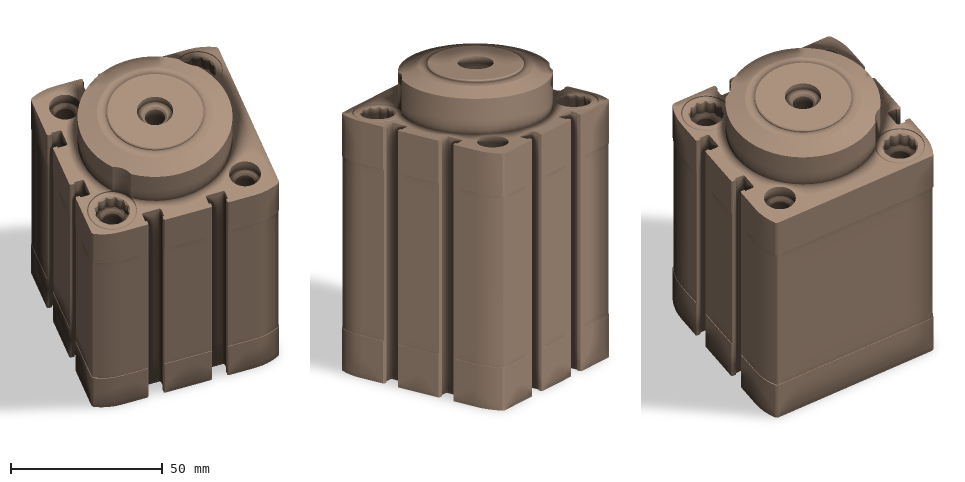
import cadquery as cq
import math

TOTAL_HEIGHT = 106.0
HOUSING_HEIGHT = 90.5
CAP_HEIGHT = 15.0
COLLAR_SHOULDER_HEIGHT = 103.0
COLLAR_TOP_HEIGHT = 105.2

CAP_WIDTH = 65.5
CAP_CORNER = (30.5, 32.3)
TUBE_WIDTH = 65.2
TUBE_CORNER = (30.1, 32.3)
CORNER_ARC_START = 23.3
FRONT_FLAT_HALF = 29.8

SLOT_OFFSET = 11.1
SLOT_MOUTH = 5.4
SLOT_WIDTH = 6.7
SLOT_DEPTH = 5.1
SLOT_LIP = 1.6
SLOT_FILLET = 0.6
SLOT_CHAMFER = 0.3

COLLAR_DIAMETER = 51.1
COLLAR_TOP_DIAMETER = 38.2

ROD_DIAMETER = 32.0
ROD_CHAMFER = 0.3
ROD_SEAT_HEIGHT = HOUSING_HEIGHT - CAP_HEIGHT
ROD_COUNTERBORE_DIAMETER = 12.0
ROD_COUNTERBORE_DEPTH = 2.8
ROD_THREAD_DEPTH = 19.1
DRILL_POINT_ANGLE = 118.0

HOLE_OFFSET = 23.2
THREAD_DIAMETER = 6.7
THREAD_MOUTH_DIAMETER = 8.0
PLAIN_COUNTERBORE_DIAMETER = 10.5
PLAIN_COUNTERBORE_DEPTH = 4.2
SCREW_DIAMETER = 16.4
SCREW_CHAMFER = 0.4
SOCKET_DEPTH = 5.1
SOCKET_ACROSS_FLATS = 10.2
SOCKET_MOUTH_DIAMETER = 12.0
SOCKET_BORE_DIAMETER = 10.7

PLAIN_CORNERS = [(-HOLE_OFFSET, -HOLE_OFFSET), (HOLE_OFFSET, HOLE_OFFSET)]
SCREW_CORNERS = [(-HOLE_OFFSET, HOLE_OFFSET), (HOLE_OFFSET, -HOLE_OFFSET)]


def cylinder(diameter, bottom, top):
    return cq.Workplane("XY").workplane(offset=bottom).circle(diameter / 2).extrude(top - bottom)


def cone(bottom_diameter, top_diameter, bottom, top):
    return cq.Workplane(
        cq.Solid.makeCone(bottom_diameter / 2, top_diameter / 2, top - bottom, cq.Vector(0, 0, bottom))
    )


def body_block(width, corner, bottom, top):
    """Square block whose sides end in arcs tangent to the side flats."""
    half = width / 2
    run = corner[1] - CORNER_ARC_START
    rise = half - corner[0]
    radius = (run ** 2 + rise ** 2) / (2 * rise)
    half_angle = math.asin(run / radius) / 2
    mid_x = half - radius * (1 - math.cos(half_angle))
    mid_y = CORNER_ARC_START + radius * math.sin(half_angle)
    return (
        cq.Workplane("XY")
        .workplane(offset=bottom)
        .moveTo(-FRONT_FLAT_HALF, -half)
        .lineTo(FRONT_FLAT_HALF, -half)
        .lineTo(corner[0], -corner[1])
        .threePointArc((mid_x, -mid_y), (half, -CORNER_ARC_START))
        .lineTo(half, CORNER_ARC_START)
        .threePointArc((mid_x, mid_y), corner)
        .lineTo(FRONT_FLAT_HALF, half)
        .lineTo(-FRONT_FLAT_HALF, half)
        .lineTo(-corner[0], corner[1])
        .threePointArc((-mid_x, mid_y), (-half, CORNER_ARC_START))
        .lineTo(-half, -CORNER_ARC_START)
        .threePointArc((-mid_x, -mid_y), (-corner[0], -corner[1]))
        .close()
        .extrude(top - bottom)
    )


def mounting_slot():
    """T-slot opening toward -Y, with a chamfered mouth and rounded inner corners."""
    face = -CAP_WIDTH / 2
    floor = face + SLOT_DEPTH
    lip = face + SLOT_LIP
    mouth_half = SLOT_MOUTH / 2
    cavity_half = SLOT_WIDTH / 2
    right_side = [
        (mouth_half + SLOT_CHAMFER, face),
        (mouth_half, face + SLOT_CHAMFER),
        (mouth_half, lip),
        (cavity_half, lip),
        (cavity_half, floor),
    ]
    left_side = [(-x, y) for x, y in reversed(right_side)]
    return (
        cq.Workplane("XY")
        .polyline(right_side + left_side)
        .close()
        .extrude(HOUSING_HEIGHT)
        .edges("|Z and >Y")
        .fillet(SLOT_FILLET)
    )


def threaded_hole(seat):
    """Through hole with a 45 degree mouth, ending at the seat height."""
    mouth_depth = (THREAD_MOUTH_DIAMETER - THREAD_DIAMETER) / 2
    mouth = cone(THREAD_DIAMETER, THREAD_MOUTH_DIAMETER, seat - mouth_depth, seat)
    return cylinder(THREAD_DIAMETER, 0, seat).union(mouth)


def plain_corner_hole():
    seat = HOUSING_HEIGHT - PLAIN_COUNTERBORE_DEPTH
    counterbore = cylinder(PLAIN_COUNTERBORE_DIAMETER, seat, HOUSING_HEIGHT)
    return threaded_hole(seat).union(counterbore)


def screw_corner_hole():
    """Through hole below a twelve-point socket whose ridges are bored flat, ringed by a fine V-groove."""
    seat = HOUSING_HEIGHT - SOCKET_DEPTH
    hole = threaded_hole(seat).union(cylinder(SOCKET_BORE_DIAMETER, seat, HOUSING_HEIGHT))
    across_corners = SOCKET_ACROSS_FLATS / math.cos(math.pi / 6)
    for turn in (0, 30):
        hexagon = (
            cq.Workplane("XY")
            .workplane(offset=seat)
            .polygon(6, across_corners)
            .extrude(SOCKET_DEPTH)
            .rotate((0, 0, 0), (0, 0, 1), turn)
        )
        hole = hole.union(hexagon)
    mouth_depth = (SOCKET_MOUTH_DIAMETER - SOCKET_BORE_DIAMETER) / 2
    mouth_bottom = HOUSING_HEIGHT - mouth_depth
    hole = hole.union(cone(SOCKET_BORE_DIAMETER, SOCKET_MOUTH_DIAMETER, mouth_bottom, HOUSING_HEIGHT))

    groove_bottom = HOUSING_HEIGHT - SCREW_CHAMFER
    groove = cylinder(SCREW_DIAMETER, groove_bottom, HOUSING_HEIGHT).cut(
        cone(SCREW_DIAMETER, SCREW_DIAMETER - 2 * SCREW_CHAMFER, groove_bottom, HOUSING_HEIGHT)
    )
    return hole.union(groove)


def collar():
    """Cylinder with a conical top, notched to clear the two corner screws."""
    ring = cylinder(COLLAR_DIAMETER, HOUSING_HEIGHT, COLLAR_SHOULDER_HEIGHT).union(
        cone(COLLAR_DIAMETER, COLLAR_TOP_DIAMETER, COLLAR_SHOULDER_HEIGHT, COLLAR_TOP_HEIGHT)
    )
    clearance = cylinder(SCREW_DIAMETER, HOUSING_HEIGHT, COLLAR_TOP_HEIGHT)
    for x, y in SCREW_CORNERS:
        ring = ring.cut(clearance.translate((x, y, 0)))
    return ring


def make_housing():
    upper_cap_bottom = HOUSING_HEIGHT - CAP_HEIGHT
    body = (
        body_block(CAP_WIDTH, CAP_CORNER, 0, CAP_HEIGHT)
        .union(body_block(TUBE_WIDTH, TUBE_CORNER, CAP_HEIGHT, upper_cap_bottom))
        .union(body_block(CAP_WIDTH, CAP_CORNER, upper_cap_bottom, HOUSING_HEIGHT))
        .union(collar())
    )
    for side_angle in (-90, 0, 90):
        for offset in (-SLOT_OFFSET, SLOT_OFFSET):
            slot = mounting_slot().translate((offset, 0, 0))
            body = body.cut(slot.rotate((0, 0, 0), (0, 0, 1), side_angle))
    for x, y in PLAIN_CORNERS:
        body = body.cut(plain_corner_hole().translate((x, y, 0)))
    for x, y in SCREW_CORNERS:
        body = body.cut(screw_corner_hole().translate((x, y, 0)))
    return body.cut(cylinder(ROD_DIAMETER, ROD_SEAT_HEIGHT, COLLAR_TOP_HEIGHT))


def make_piston_rod():
    rod = cylinder(ROD_DIAMETER, ROD_SEAT_HEIGHT, TOTAL_HEIGHT).faces(">Z").chamfer(ROD_CHAMFER)
    seat = TOTAL_HEIGHT - ROD_COUNTERBORE_DEPTH
    thread_bottom = TOTAL_HEIGHT - ROD_THREAD_DEPTH
    point_depth = THREAD_DIAMETER / 2 / math.tan(math.radians(DRILL_POINT_ANGLE / 2))
    mouth_depth = (THREAD_MOUTH_DIAMETER - THREAD_DIAMETER) / 2
    return (
        rod.cut(cylinder(ROD_COUNTERBORE_DIAMETER, seat, TOTAL_HEIGHT))
        .cut(cone(THREAD_DIAMETER, THREAD_MOUTH_DIAMETER, seat - mouth_depth, seat))
        .cut(cylinder(THREAD_DIAMETER, thread_bottom, seat))
        .cut(cone(0, THREAD_DIAMETER, thread_bottom - point_depth, thread_bottom))
    )


housing = make_housing()
piston_rod = make_piston_rod()

result = cq.Compound.makeCompound([housing.val(), piston_rod.val()])